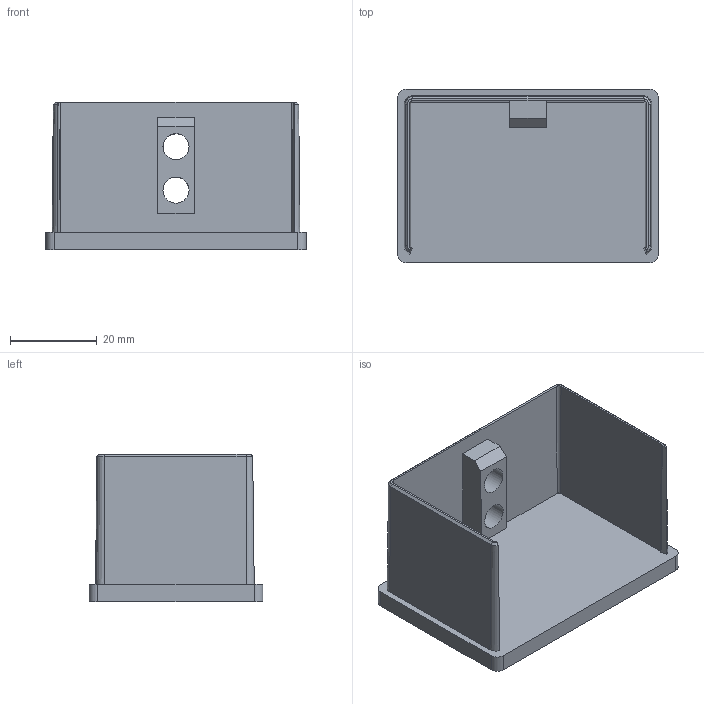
import math

import cadquery as cq

PLATE_LENGTH = 60.0
PLATE_WIDTH = 40.0
PLATE_THICKNESS = 4.0
PLATE_CORNER_RADIUS = 2.0

TOTAL_HEIGHT = 34.0
WALL_THICKNESS = 1.5
WALL_MARGIN = 1.5
WALL_FRONT_MARGIN = 2.0
WALL_OUTER_RADIUS = 2.0
WALL_DRAFT = 0.5
WALL_END_SWEEP = 70.0
WALL_TOP_CHAMFER = 0.5

LUG_WIDTH = 8.3
LUG_HEIGHT = 22.0
LUG_DEPTH = 6.0
LUG_BASE = 4.35
LUG_CHAMFER = 2.0
HOLE_DIAMETER = 6.0
HOLE_HEIGHTS = (9.7, 19.7)

WALL_HEIGHT = TOTAL_HEIGHT - PLATE_THICKNESS
WALL_INNER_RADIUS = WALL_OUTER_RADIUS - WALL_THICKNESS
WALL_OUTER_X = PLATE_LENGTH / 2 - WALL_MARGIN
WALL_OUTER_BACK_Y = PLATE_WIDTH / 2 - WALL_MARGIN
WALL_INNER_BACK_Y = WALL_OUTER_BACK_Y - WALL_THICKNESS

CORNER_X = WALL_OUTER_X - WALL_OUTER_RADIUS
BACK_CORNER_Y = WALL_OUTER_BACK_Y - WALL_OUTER_RADIUS
END_REACH = WALL_OUTER_RADIUS * math.sin(math.radians(WALL_END_SWEEP))
FRONT_CORNER_Y = WALL_FRONT_MARGIN - PLATE_WIDTH / 2 + END_REACH


def make_plate():
    plate = cq.Workplane("XY").box(PLATE_LENGTH, PLATE_WIDTH, PLATE_THICKNESS, centered=(True, True, False))
    return plate.edges("|Z").fillet(PLATE_CORNER_RADIUS)


def corner_point(side, center_y, radius, angle):
    """Point on a corner arc; side is +1 or -1 and angle is in degrees from the outward X direction."""
    turn = math.radians(angle)
    return side * (CORNER_X + radius * math.cos(turn)), center_y + radius * math.sin(turn)


def trace_run(outline, radius, start):
    """Extend the outline along one skin of the wall, from the free end on side `start` to the other one."""

    def arc(side, center_y, from_angle, to_angle):
        middle = corner_point(side, center_y, radius, (from_angle + to_angle) / 2)
        return outline.threePointArc(middle, corner_point(side, center_y, radius, to_angle))

    outline = arc(start, FRONT_CORNER_Y, -WALL_END_SWEEP, 0)
    outline = outline.lineTo(*corner_point(start, BACK_CORNER_Y, radius, 0))
    outline = arc(start, BACK_CORNER_Y, 0, 90)
    outline = outline.lineTo(*corner_point(-start, BACK_CORNER_Y, radius, 90))
    outline = arc(-start, BACK_CORNER_Y, 90, 0)
    outline = outline.lineTo(*corner_point(-start, FRONT_CORNER_Y, radius, 0))
    return arc(-start, FRONT_CORNER_Y, 0, -WALL_END_SWEEP)


def make_wall():
    outline = cq.Workplane("XY").workplane(offset=PLATE_THICKNESS)
    outline = outline.moveTo(*corner_point(-1, FRONT_CORNER_Y, WALL_OUTER_RADIUS, -WALL_END_SWEEP))
    outline = trace_run(outline, WALL_OUTER_RADIUS, -1)
    outline = outline.lineTo(*corner_point(1, FRONT_CORNER_Y, WALL_INNER_RADIUS, -WALL_END_SWEEP))
    outline = trace_run(outline, WALL_INNER_RADIUS, 1)
    wall = outline.close().extrude(WALL_HEIGHT, taper=WALL_DRAFT)
    return wall.faces(">Z").edges(">Y").chamfer(WALL_TOP_CHAMFER)


def back_wall_plane():
    """Sketch plane on the inner back face: X along the wall, Y up its slope, normal into the tray."""
    draft = math.radians(WALL_DRAFT)
    normal = (0, -math.cos(draft), math.sin(draft))
    return cq.Plane(origin=(0, WALL_INNER_BACK_Y, PLATE_THICKNESS), xDir=(1, 0, 0), normal=normal)


def make_lug():
    """Block standing square on the sloping back wall, bevelled along its upper front edge."""
    lug = cq.Workplane(back_wall_plane()).center(0, LUG_BASE + LUG_HEIGHT / 2)
    lug = lug.rect(LUG_WIDTH, LUG_HEIGHT).extrude(LUG_DEPTH)
    return lug.faces("<Y").edges(">Z").chamfer(LUG_CHAMFER)


def make_holes():
    """Cylinders square to the back wall that pass through it and the lug."""
    overrun = 2 * WALL_THICKNESS
    holes = cq.Workplane(back_wall_plane()).workplane(offset=-overrun)
    holes = holes.pushPoints([(0, height) for height in HOLE_HEIGHTS])
    return holes.circle(HOLE_DIAMETER / 2).extrude(overrun + LUG_DEPTH + overrun)


result = make_plate().union(make_wall()).union(make_lug()).cut(make_holes())